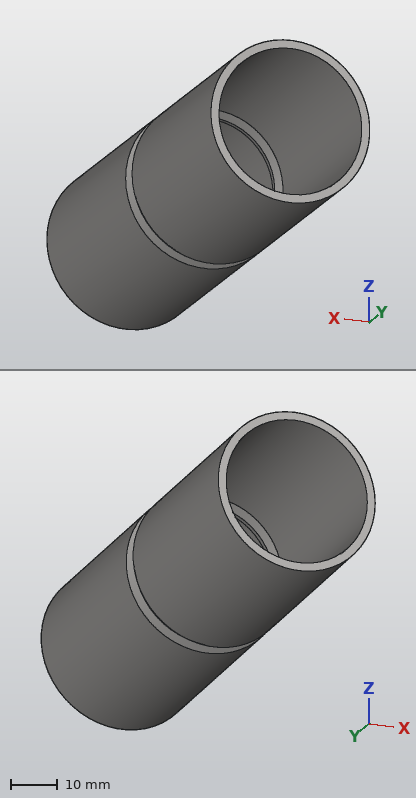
import cadquery as cq

length = 100.0
outer_diameter = 36.5
bore_diameter = 32.8
groove_diameter = 33.8
ridge_diameter = 30.1
ring_flat = 1.2

outer_radius = outer_diameter / 2
bore_radius = bore_diameter / 2
groove_radius = groove_diameter / 2
ridge_radius = ridge_diameter / 2

half_length = length / 2
half_flat = ring_flat / 2


def revolved_profile(body_radius, ring_radius):
    """Solid of revolution about Y, necked to ring_radius with 45 degree flanks."""
    half_ring = half_flat + (body_radius - ring_radius)
    return (
        cq.Workplane("XY")
        .moveTo(0, -half_length)
        .lineTo(body_radius, -half_length)
        .lineTo(body_radius, -half_ring)
        .lineTo(ring_radius, -half_flat)
        .lineTo(ring_radius, half_flat)
        .lineTo(body_radius, half_ring)
        .lineTo(body_radius, half_length)
        .lineTo(0, half_length)
        .close()
        .revolve(360, (0, 0, 0), (0, 1, 0))
    )


outside = revolved_profile(outer_radius, groove_radius)
inside = revolved_profile(bore_radius, ridge_radius)

result = outside.cut(inside)